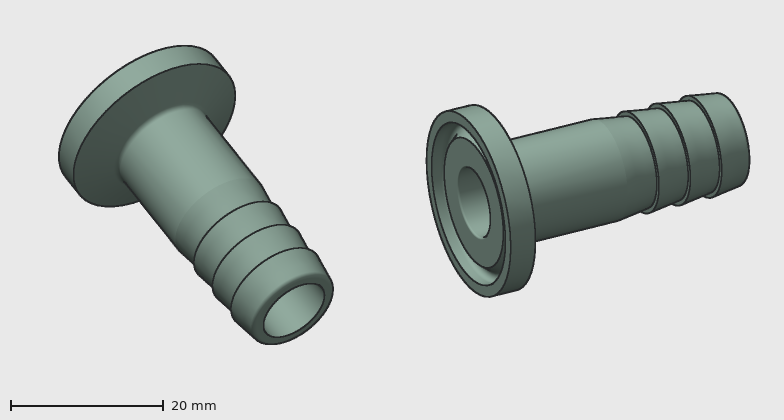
import cadquery as cq
import math

TOTAL_LENGTH = 38.1
FLANGE_RADIUS = 12.5
FLANGE_RIM_LENGTH = 3.62
FLANGE_BACK_ANGLE = math.radians(20)
NECK_FILLET = 0.8

TUBE_RADIUS = 13.75 / 2
BORE_RADIUS = 9.4 / 2
BORE_ENTRY_ROUND = 0.25

BARB_COUNT = 4
BARB_PITCH = 4.57
BARB_DROP = 0.65
TIP_ROUND = 0.6

CENTER_FACE_RECESS = 0.75

GROOVE_OUTER_RADIUS = 21.9 / 2
GROOVE_INNER_RADIUS = 8.75
GROOVE_FLOOR_ROUND = 0.8
GROOVE_WALL_ANGLE = math.radians(37)

BARBS_START = TOTAL_LENGTH - BARB_COUNT * BARB_PITCH


def revolve_about_x(profile):
    """Turn a closed profile drawn as (distance along X, radius) about the X axis."""
    return profile.close().revolve(360, (0, 0, 0), (1, 0, 0))


def make_flange():
    """Clamp flange with a conical back that blends into the tube."""
    cone_length = (FLANGE_RADIUS - TUBE_RADIUS) * math.tan(FLANGE_BACK_ANGLE)
    turn = math.pi / 2 - FLANGE_BACK_ANGLE
    corner_x = FLANGE_RIM_LENGTH + cone_length
    tangent_length = NECK_FILLET * math.tan(turn / 2)
    center_x = corner_x + tangent_length
    center_radius = TUBE_RADIUS + NECK_FILLET

    def fillet_point(angle):
        return (center_x - NECK_FILLET * math.sin(angle), center_radius - NECK_FILLET * math.cos(angle))

    profile = (
        cq.Workplane("XY")
        .lineTo(0, FLANGE_RADIUS)
        .lineTo(FLANGE_RIM_LENGTH, FLANGE_RADIUS)
        .lineTo(*fillet_point(turn))
        .threePointArc(fillet_point(turn / 2), fillet_point(0))
        .lineTo(center_x, 0)
    )
    return revolve_about_x(profile)


def make_barbed_tube():
    """Plain tube followed by teeth that taper towards the rounded free end."""
    profile = cq.Workplane("XY").lineTo(0, TUBE_RADIUS)
    for index in range(BARB_COUNT):
        tooth_start = BARBS_START + index * BARB_PITCH
        profile = profile.lineTo(tooth_start, TUBE_RADIUS)
        profile = profile.lineTo(tooth_start + BARB_PITCH, TUBE_RADIUS - BARB_DROP)
    profile = profile.lineTo(TOTAL_LENGTH, 0)
    return revolve_about_x(profile).faces(">X").edges().fillet(TIP_ROUND)


def make_face_cut():
    """Recess and groove to cut from the flange face; the floor arc is tangent to both walls."""
    center_radius = GROOVE_OUTER_RADIUS - GROOVE_FLOOR_ROUND
    wall_distance = (center_radius - GROOVE_INNER_RADIUS) * math.cos(GROOVE_WALL_ANGLE)
    center_depth = CENTER_FACE_RECESS + (wall_distance - GROOVE_FLOOR_ROUND) / math.sin(GROOVE_WALL_ANGLE)
    wall_foot = (
        center_depth + GROOVE_FLOOR_ROUND * math.sin(GROOVE_WALL_ANGLE),
        center_radius - GROOVE_FLOOR_ROUND * math.cos(GROOVE_WALL_ANGLE),
    )
    profile = (
        cq.Workplane("XY")
        .lineTo(CENTER_FACE_RECESS, 0)
        .lineTo(CENTER_FACE_RECESS, GROOVE_INNER_RADIUS)
        .lineTo(*wall_foot)
        .threePointArc(
            (center_depth + GROOVE_FLOOR_ROUND, center_radius),
            (center_depth, GROOVE_OUTER_RADIUS),
        )
        .lineTo(0, GROOVE_OUTER_RADIUS)
    )
    return revolve_about_x(profile)


def make_bore():
    """Through bore whose mouth in the center face is flared by a quarter round."""
    mid_offset = BORE_ENTRY_ROUND * (1 - math.sqrt(0.5))
    profile = (
        cq.Workplane("XY")
        .moveTo(CENTER_FACE_RECESS, 0)
        .lineTo(CENTER_FACE_RECESS, BORE_RADIUS + BORE_ENTRY_ROUND)
        .threePointArc(
            (CENTER_FACE_RECESS + mid_offset, BORE_RADIUS + mid_offset),
            (CENTER_FACE_RECESS + BORE_ENTRY_ROUND, BORE_RADIUS),
        )
        .lineTo(TOTAL_LENGTH, BORE_RADIUS)
        .lineTo(TOTAL_LENGTH, 0)
    )
    return revolve_about_x(profile)


result = make_flange().union(make_barbed_tube()).cut(make_face_cut()).cut(make_bore())